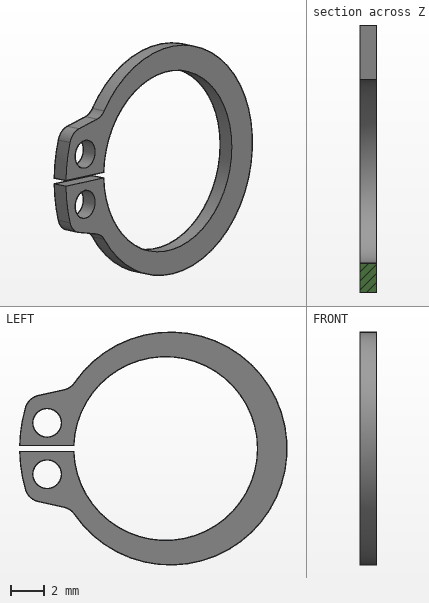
import cadquery as cq
import math

thickness = 1.0
bore_radius = 5.5
rim_diameter = 13.96
rim_radius = rim_diameter / 2
width = 16.03
lug_tip_radius = 8.75
rim_offset = width - lug_tip_radius - rim_radius
gap = 0.34

hole_diameter = 1.7
hole_y = 7.1
hole_z = 1.54

flank_slope = math.radians(12.5)
flank_reference_y = 6.73
flank_reference_z = 3.38
flank_inner_y = 4.0
tip_fillet = 1.04
root_fillet = 1.0


def flank_z(y):
    """Height of the lug flank at a distance y from the bore axis."""
    return flank_reference_z - (y - flank_reference_y) * math.tan(flank_slope)


def cylinder(radius, y=0.0, z=0.0):
    """Disc through the full thickness, centred on the X = 0 plane."""
    return cq.Workplane("YZ").center(y, z).circle(radius).extrude(thickness / 2, both=True)


def lug_blank():
    """Both lugs as one tapered block, trimmed to the round tip."""
    inner_z = flank_z(flank_inner_y)
    outer_z = flank_z(lug_tip_radius)
    outline = [
        (flank_inner_y, -inner_z),
        (lug_tip_radius, -outer_z),
        (lug_tip_radius, outer_z),
        (flank_inner_y, inner_z),
    ]
    block = cq.Workplane("YZ").polyline(outline).close().extrude(thickness / 2, both=True)
    return block.intersect(cylinder(lug_tip_radius))


def across_thickness_edges(body, y_min, y_max):
    """Edges parallel to X whose Y position lies between the limits."""
    box = cq.selectors.BoxSelector(
        (-thickness, y_min, -rim_radius),
        (thickness, y_max, rim_radius),
    )
    return body.edges("|X").edges(box)


body = cylinder(rim_radius, -rim_offset).union(lug_blank())
body = across_thickness_edges(body, hole_y, lug_tip_radius).fillet(tip_fillet)
body = across_thickness_edges(body, flank_inner_y, hole_y).fillet(root_fillet)

body = body.cut(cylinder(bore_radius))

gap_cutter = cq.Workplane("XY").box(thickness, lug_tip_radius, gap)
body = body.cut(gap_cutter.translate((0, lug_tip_radius / 2, 0)))

for side in (-1, 1):
    body = body.cut(cylinder(hole_diameter / 2, hole_y, side * hole_z))

result = body